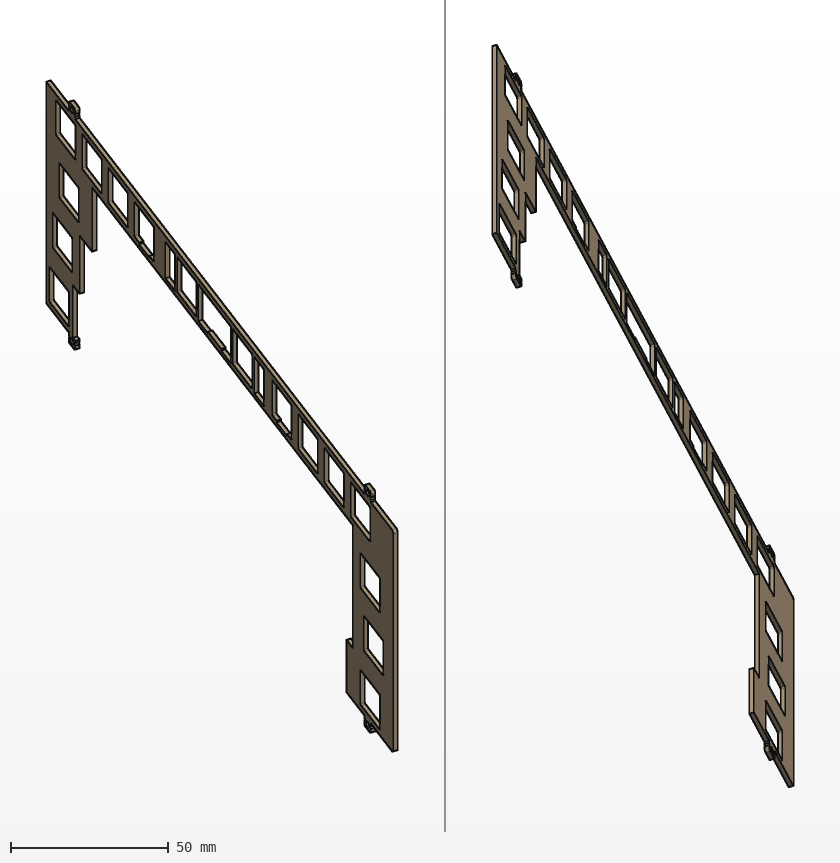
import cadquery as cq

length = 252.5
thickness = 1.6
body_height = 90.4
overall_height = 98.5
rail_height = 19.0
outer_radius = 1.0
step_radius = 0.5

first_key_x = -112.0
last_key_x = 102.2
pitches_across = 11.25
plain_keys = 3
key_pitch = (last_key_x - first_key_x) / pitches_across
row_pitch = 1.25 * key_pitch
key_size = 14.1
corner_radius = 0.38
row_count = 4
row_z = [((row_count - 1) / 2 - row) * row_pitch for row in range(row_count)]

left_upper_x = -92.6
left_middle_x = -101.7
left_lower_x = -106.8
right_inner_x = 96.7
right_foot_x = 92.1
left_leg_offsets = [0.125, -0.125, -0.25]
right_leg_offsets = [0.375, 0.5, 0.375]

bar_x = -3.8
bar_window_width = 23.7
bar_key_offset = 20.2
slit_offset = 32.3
slit_width = 7.0
notch_depth = 0.8
notch_width = 7.5
bar_land_width = 9.5

tab_x = 107.5
tab_width = 4.8
tab_top_radius = 0.8
tab_hole_diameter = 2.2
tab_hole_height = 2.0
tab_notch_height = 1.5
tab_notch_radius = 0.5

half_length = length / 2
half_height = body_height / 2
rail_bottom = half_height - rail_height
middle_step_z = (row_z[1] + row_z[2]) / 2
lower_step_z = (row_z[2] + row_z[3]) / 2


def prism(sketch):
    """Extrude an XZ sketch symmetrically to the plate thickness."""
    return sketch.extrude(thickness / 2, both=True)


def block(x, z, width, height):
    """Plate-thick block centred at (x, z)."""
    return prism(cq.Workplane("XZ").center(x, z).rect(width, height))


def disc(x, z, radius):
    """Plate-thick disc centred at (x, z)."""
    return prism(cq.Workplane("XZ").center(x, z).circle(radius))


def round_corners(body, corners, radius):
    """Round the through-thickness edges standing at the given (x, z) corners."""
    for x, z in corners:
        edge = cq.selectors.NearestToPointSelector((x, 0, z))
        body = body.edges("|Y").edges(edge).fillet(radius)
    return body


def make_body():
    """Top rail with a stepped left leg and a right leg ending in a foot."""
    outline = [
        (-half_length, half_height),
        (half_length, half_height),
        (half_length, -half_height),
        (right_foot_x, -half_height),
        (right_foot_x, lower_step_z),
        (right_inner_x, lower_step_z),
        (right_inner_x, rail_bottom),
        (left_upper_x, rail_bottom),
        (left_upper_x, middle_step_z),
        (left_middle_x, middle_step_z),
        (left_middle_x, lower_step_z),
        (left_lower_x, lower_step_z),
        (left_lower_x, -half_height),
        (-half_length, -half_height),
    ]
    body = prism(cq.Workplane("XZ").polyline(outline).close())
    outer_corners = [(half_length, half_height), (half_length, -half_height)]
    step_corners = [(left_upper_x, middle_step_z), (left_middle_x, lower_step_z)]
    body = round_corners(body, outer_corners, outer_radius)
    return round_corners(body, step_corners, step_radius)


def key_hole(x, z):
    """Square switch opening with small corner rounds."""
    return block(x, z, key_size, key_size).edges("|Y").fillet(corner_radius)


def notched_hole(x, width, notch_centres, notch):
    """Rail opening of the given width, cut deeper at its bottom edge by notches."""
    hole = block(x, row_z[0], width, key_size).edges("|Y").fillet(corner_radius)
    deep_height = key_size / 2 + notch_depth
    for centre in notch_centres:
        hole = hole.union(block(centre, row_z[0] - deep_height / 2, notch, deep_height))
    return hole


def make_tab(x, side):
    """Waisted tab with a hole, on the top (side=1) or bottom (side=-1) edge."""
    tab_height = (overall_height - body_height) / 2
    tab = block(x, side * (half_height + tab_height / 2), tab_width, tab_height)
    tip = [(x + end * tab_width / 2, side * overall_height / 2) for end in (-1, 1)]
    tab = round_corners(tab, tip, tab_top_radius)
    for end in (-1, 1):
        notch_x = x + end * tab_width / 2
        tab = tab.cut(disc(notch_x, side * (half_height + tab_notch_height), tab_notch_radius))
    return tab.cut(disc(x, side * (half_height + tab_hole_height), tab_hole_diameter / 2))


result = make_body()

for index in range(plain_keys):
    result = result.cut(key_hole(first_key_x + index * key_pitch, row_z[0]))
    result = result.cut(key_hole(last_key_x - index * key_pitch, row_z[0]))
for x in (first_key_x + plain_keys * key_pitch, last_key_x - plain_keys * key_pitch):
    result = result.cut(notched_hole(x, key_size, [x], notch_width))

for z, left, right in zip(row_z[1:], left_leg_offsets, right_leg_offsets):
    result = result.cut(key_hole(first_key_x + left * key_pitch, z))
    result = result.cut(key_hole(last_key_x + right * key_pitch, z))

bar_notch_width = (bar_window_width - bar_land_width) / 2
bar_notch_offset = (bar_window_width - bar_notch_width) / 2
bar_notches = [bar_x - bar_notch_offset, bar_x + bar_notch_offset]
result = result.cut(notched_hole(bar_x, bar_window_width, bar_notches, bar_notch_width))
for side in (-1, 1):
    result = result.cut(key_hole(bar_x + side * bar_key_offset, row_z[0]))
    slit_x = bar_x + side * slit_offset
    result = result.cut(notched_hole(slit_x, slit_width, [slit_x], slit_width))

for x in (-tab_x, tab_x):
    for side in (-1, 1):
        result = result.union(make_tab(x, side))